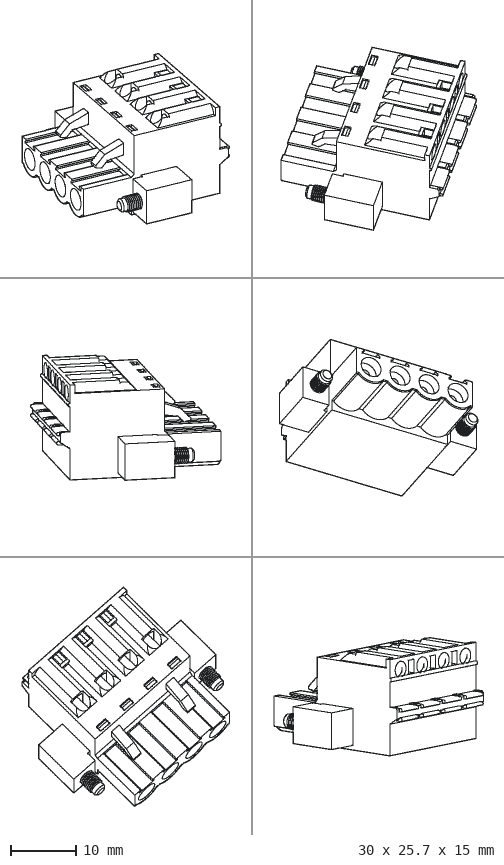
import cadquery as cq
import math

pole_count = 4
pitch = 5.0
width = pole_count * pitch
pole_xs = [(i - (pole_count - 1) / 2) * pitch for i in range(pole_count)]
gap_xs = [(i - (pole_count - 2) / 2) * pitch for i in range(pole_count - 1)]

height = 15.0
deck_z = 13.62
back_y = 15.37
top_front_y = 0.5
step_z = 6.5
back_wall_front_y = 14.6

barrel_axis_z = 13.17
barrel_radius = 2.03
barrel_front_y = 4.85
bore_radius = 1.25
mouth_radius = 1.29
mouth_back_y = 7.28
mouth_floor_z = 10.0

socket_width = 1.64
socket_front_y = 12.37
socket_top_z = 14.32
socket_side_wall = 0.2
socket_front_wall = 0.56
socket_floor_z = 12.2

window_width = 1.88
window_front_y = 0.89
window_length = 1.0
window_depth = 0.5
window_ridge_height = 0.35
window_ridge_back_offset = 0.42

nose_length = 8.35
nose_floor_z = 1.76
contact_z = 3.62
scallop_radius = 2.87
scallop_chamfer = 0.15
contact_mouth_radius = 1.71
contact_inner_radius = 0.76
contact_depth = 1.7
contact_cone_length = 0.38

groove_top_half = 1.29
groove_neck_half = 1.11
groove_floor_half = 1.53
groove_neck_z = 6.32
groove_shoulder_z = 6.03
groove_floor_z = 5.78

overall_width = 30.0
flange_length = 7.84
flange_bottom_z = 0.75
relief_width = 0.5
relief_length = 1.67
screw_x = 12.55
thread_length = 2.5
thread_turns = 8
thread_crest_radius = 1.25
thread_root_radius = 1.05
screw_length = 3.48
screw_tip_chamfer = 0.3

latch_x = 5.74
latch_width = 1.6
latch_root_top_z = 10.75
latch_root_bottom_z = 8.7
latch_bend_y = -2.78
latch_bend_z = 9.57
latch_elbow_y = -2.3
latch_heel_y = -3.3
latch_tip_y = -4.35
latch_tip_bottom_z = 7.4
latch_tip_rise = 0.22

rail_back_y = 16.89
rail_top_z = 7.6
rail_bottom_z = 4.95
rail_slope_rise = 1.0
rail_bevel = 0.27
lever_width = 3.84
lever_gap = 0.1
lever_top_z = 7.5
lever_bottom_z = 5.5
lever_back_y = 17.35
lip_thickness = 0.55

bead_radius = 0.3
bead_z = 11.83


def box(x0, x1, y0, y1, z0, z1):
    return cq.Workplane("XY").box(x1 - x0, y1 - y0, z1 - z0, centered=False).translate((x0, y0, z0))


def prism(points, x_center, x_width):
    """Extrude a closed (Y, Z) polygon along X, centred on x_center."""
    profile = cq.Workplane("YZ", origin=(x_center, 0, 0)).polyline(points).close()
    return profile.extrude(x_width / 2, both=True)


def cylinder_along_y(x, z, radius, y0, y1):
    return cq.Workplane("XZ", origin=(x, y0, z)).circle(radius).extrude(y0 - y1)


def make_housing():
    """Block with a raised back wall and a 45 degree bevel where the front steps out."""
    profile = [
        (0, 0),
        (back_y, 0),
        (back_y, height),
        (back_wall_front_y, height),
        (back_wall_front_y, deck_z),
        (top_front_y, deck_z),
        (top_front_y, step_z + top_front_y),
        (0, step_z),
    ]
    return prism(profile, 0, width)


def make_barrel(x):
    """Ridge of circular section, flat on top, with a 45 degree front slope."""
    barrel = cylinder_along_y(x, barrel_axis_z, barrel_radius, barrel_front_y, back_wall_front_y)
    rise = height - deck_z
    envelope = prism(
        [
            (barrel_front_y, deck_z),
            (back_wall_front_y, deck_z),
            (back_wall_front_y, height),
            (barrel_front_y + rise, height),
        ],
        x,
        2 * barrel_radius,
    )
    return barrel.intersect(envelope)


def make_barrel_opening(x):
    """Round-nosed well, an arched passage behind it and a bore out through the back wall."""
    nose_y = barrel_front_y + mouth_radius
    well = box(x - mouth_radius, x + mouth_radius, nose_y, mouth_back_y, mouth_floor_z, height)
    well_nose = (
        cq.Workplane("XY", origin=(x, nose_y, mouth_floor_z))
        .circle(mouth_radius)
        .extrude(height - mouth_floor_z)
        .intersect(box(x - mouth_radius, x + mouth_radius, barrel_front_y, nose_y, mouth_floor_z, height))
    )
    bore = cylinder_along_y(x, barrel_axis_z, bore_radius, nose_y, back_y)
    passage = box(
        x - bore_radius, x + bore_radius, nose_y, back_wall_front_y, mouth_floor_z, barrel_axis_z
    )
    return well.union(well_nose).union(bore).union(passage)


def make_socket(x):
    half = socket_width / 2
    return box(x - half, x + half, socket_front_y, back_wall_front_y, deck_z, socket_top_z)


def make_socket_cavity(x):
    """Well inside the socket, open through the back wall."""
    half = socket_width / 2 - socket_side_wall
    cavity_front_y = socket_front_y + socket_front_wall
    return box(x - half, x + half, cavity_front_y, back_y, socket_floor_z, socket_top_z)


def make_window(x):
    """Shallow pocket whose floor is a low ridge running along X."""
    floor_z = deck_z - window_depth
    back = window_front_y + window_length
    profile = [
        (window_front_y, floor_z),
        (back - window_ridge_back_offset, floor_z + window_ridge_height),
        (back, floor_z),
        (back, deck_z),
        (window_front_y, deck_z),
    ]
    return prism(profile, x, window_width)


def make_nose():
    """Slab with a round belly under each contact, bevelled along its lower front edge."""
    slab = box(-width / 2, width / 2, -nose_length, 0, nose_floor_z, step_z)
    nose = slab.faces("<Y").edges("<Z").chamfer(scallop_chamfer)
    for x in pole_xs:
        belly = cylinder_along_y(x, contact_z, scallop_radius, -nose_length, 0)
        nose = nose.union(belly.faces("<Y").edges().chamfer(scallop_chamfer))
    return nose.intersect(box(-width / 2, width / 2, -nose_length, 0, 0, step_z))


def make_contact_hole(x):
    """Round socket in the nose face with a flat-tipped conical bottom."""
    cone_start_y = contact_depth - nose_length
    floor_y = cone_start_y + contact_cone_length
    return (
        cq.Workplane("XY")
        .polyline(
            [
                (0, -nose_length),
                (contact_mouth_radius, -nose_length),
                (contact_mouth_radius, cone_start_y),
                (contact_inner_radius, floor_y),
                (0, floor_y),
            ]
        )
        .close()
        .revolve(360, (0, 0, 0), (0, 1, 0))
        .translate((x, 0, contact_z))
    )


def make_coding_groove(x):
    right_side = [
        (groove_floor_half, groove_floor_z),
        (groove_floor_half, groove_shoulder_z),
        (groove_neck_half, groove_neck_z),
        (groove_top_half, step_z),
    ]
    left_side = [(-px, pz) for px, pz in reversed(right_side)]
    profile = cq.Workplane("XZ", origin=(x, 0, 0)).polyline(right_side + left_side).close()
    return profile.extrude(nose_length)


def make_flange(side):
    inner = width / 2
    relief_x = inner + relief_width
    outer = overall_width / 2
    outline = [
        (inner, flange_length),
        (outer, flange_length),
        (outer, 0),
        (relief_x, 0),
        (relief_x, relief_length),
        (inner, relief_length),
    ]
    return (
        cq.Workplane("XY", origin=(0, 0, flange_bottom_z))
        .polyline([(side * px, py) for px, py in outline])
        .close()
        .extrude(step_z - flange_bottom_z)
    )


def make_screw(side):
    """Screw end with V-shaped thread ridges modelled as rings."""
    turn = thread_length / thread_turns
    profile = [(0, 0), (thread_root_radius, 0)]
    for i in range(thread_turns):
        profile.append((thread_crest_radius, -(i + 0.5) * turn))
        profile.append((thread_root_radius, -(i + 1) * turn))
    profile += [
        (thread_root_radius, screw_tip_chamfer - screw_length),
        (thread_root_radius - screw_tip_chamfer, -screw_length),
        (0, -screw_length),
    ]
    return (
        cq.Workplane("XY")
        .polyline(profile)
        .close()
        .revolve(360, (0, 0, 0), (0, 1, 0))
        .translate((side * screw_x, 0, contact_z))
    )


def make_latch(x):
    """Arm that slopes down from the front wall, then bends down to 45 degrees."""
    profile = [
        (top_front_y, latch_root_top_z),
        (latch_bend_y, latch_bend_z),
        (latch_tip_y, latch_bend_z + latch_tip_y - latch_bend_y),
        (latch_tip_y, latch_tip_bottom_z + latch_tip_rise),
        (latch_heel_y, latch_tip_bottom_z),
        (latch_elbow_y, latch_tip_bottom_z + latch_elbow_y - latch_heel_y),
        (top_front_y, latch_root_bottom_z),
    ]
    return prism(profile, x, latch_width)


def make_rail():
    """Rail across the back, relieved around each lever."""
    profile = [
        (back_y, rail_bottom_z),
        (rail_back_y, rail_bottom_z + rail_slope_rise),
        (rail_back_y, rail_top_z - rail_bevel),
        (rail_back_y - rail_bevel, rail_top_z),
        (back_y, rail_top_z),
    ]
    rail = prism(profile, 0, width)
    half = lever_width / 2 + lever_gap
    lever_seat_z = lever_top_z - lip_thickness
    for x in pole_xs:
        rail = rail.cut(box(x - half, x + half, back_y, rail_back_y, lever_seat_z, rail_top_z))
    return rail


def make_lip(x, bottom_z):
    """Flat finger lip with a fully rounded tip at the back of a lever."""
    radius = lip_thickness / 2
    tip_start_y = lever_back_y - radius
    return (
        cq.Workplane("YZ", origin=(x, 0, 0))
        .moveTo(back_y, bottom_z)
        .lineTo(tip_start_y, bottom_z)
        .threePointArc((lever_back_y, bottom_z + radius), (tip_start_y, bottom_z + lip_thickness))
        .lineTo(back_y, bottom_z + lip_thickness)
        .close()
        .extrude(lever_width / 2, both=True)
    )


def make_lever(x):
    upper_lip = make_lip(x, lever_top_z - lip_thickness)
    lower_lip = make_lip(x, lever_bottom_z)
    return upper_lip.union(lower_lip)


def make_bead():
    bead = cq.Workplane("YZ", origin=(-width / 2, back_y, bead_z)).circle(bead_radius).extrude(width)
    return bead.intersect(box(-width / 2, width / 2, back_y, back_y + bead_radius, 0, height))


result = make_housing().union(make_nose())
for x in pole_xs:
    result = result.union(make_barrel(x))
for x in gap_xs:
    result = result.union(make_socket(x)).cut(make_socket_cavity(x))
for x in pole_xs:
    result = result.cut(make_barrel_opening(x)).cut(make_window(x))
    result = result.cut(make_contact_hole(x)).cut(make_coding_groove(x))
result = result.union(make_bead()).union(make_rail())
for x in pole_xs:
    result = result.union(make_lever(x))
for side in (-1, 1):
    result = result.union(make_flange(side)).union(make_screw(side))
    result = result.union(make_latch(side * latch_x))